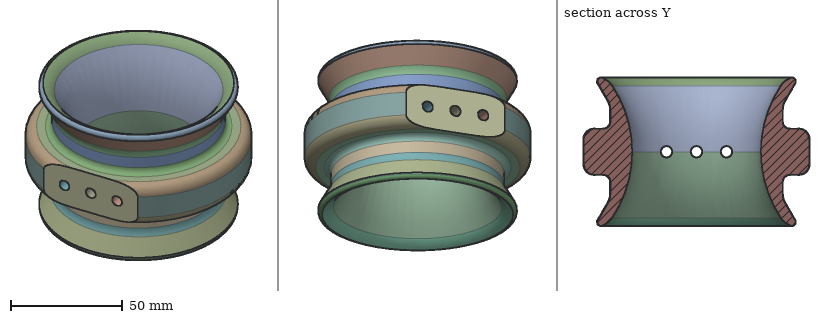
import cadquery as cq
import math

band_radius = 51.0
neck_radius = 39.0
lip_radius = 44.8
throat_radius = 29.0
flare_start_radius = 38.0

half_height = 33.5
band_half_height = 10.5
flare_start_height = 29.75

band_round = 5.0
band_root_fillet = 3.0
neck_blend_radius = 8.0
cone_angle = math.radians(30)
lip_round = 1.8
lip_edge_width = 0.55

flat_distance = 45.0
hole_diameter = 5.0
hole_spacing = 13.5
hole_count = 3


def arc_point(center, radius, angle):
    """Point on a circle in the (radius, height) half plane."""
    return (center[0] + radius * math.cos(angle), center[1] + radius * math.sin(angle))


def ring_half():
    """Revolved ring above the mid plane: band, neck, outer cone, lip and flared bore."""
    lip_center_height = half_height - lip_round
    lip_bottom = lip_center_height - lip_edge_width
    lip_crest_radius = lip_radius - lip_round

    cone_foot = lip_bottom - (lip_radius - neck_radius) / math.tan(cone_angle)
    blend_bottom = cone_foot - neck_blend_radius * math.tan(cone_angle / 2)
    blend_center = (neck_radius + neck_blend_radius, blend_bottom)

    band_round_center = (band_radius - band_round, band_half_height - band_round)
    root_center = (neck_radius + band_root_fillet, band_half_height + band_root_fillet)
    lip_center = (lip_crest_radius, lip_center_height)

    throat_rise = flare_start_radius - throat_radius
    throat_arc_radius = (flare_start_height**2 + throat_rise**2) / (2 * throat_rise)
    throat_center = (throat_radius + throat_arc_radius, 0)
    throat_angle = math.asin(flare_start_height / throat_arc_radius)

    profile = (
        cq.Workplane("XZ")
        .moveTo(throat_radius, 0)
        .threePointArc(
            arc_point(throat_center, throat_arc_radius, math.pi - throat_angle / 2),
            (flare_start_radius, flare_start_height),
        )
        .tangentArcPoint((lip_crest_radius, half_height), relative=False)
        .threePointArc(
            arc_point(lip_center, lip_round, math.pi / 4),
            (lip_radius, lip_center_height),
        )
        .lineTo(lip_radius, lip_bottom)
        .lineTo(*arc_point(blend_center, neck_blend_radius, math.pi - cone_angle))
        .threePointArc(
            arc_point(blend_center, neck_blend_radius, math.pi - cone_angle / 2),
            (neck_radius, blend_bottom),
        )
        .lineTo(neck_radius, root_center[1])
        .threePointArc(
            arc_point(root_center, band_root_fillet, 5 * math.pi / 4),
            (root_center[0], band_half_height),
        )
        .lineTo(band_round_center[0], band_half_height)
        .threePointArc(
            arc_point(band_round_center, band_round, math.pi / 4),
            (band_radius, band_round_center[1]),
        )
        .lineTo(band_radius, 0)
        .close()
    )
    return profile.revolve(360, (0, 0, 0), (0, 1, 0))


def flat_cutter():
    """Block that removes everything beyond the flat on the -Y side."""
    depth = band_radius - flat_distance
    return (
        cq.Workplane("XY")
        .box(2 * band_radius, depth, 2 * band_half_height)
        .translate((0, -flat_distance - depth / 2, 0))
    )


def flat_holes():
    """Row of holes from the flat into the bore, parallel to Y."""
    return (
        cq.Workplane("XZ")
        .rarray(hole_spacing, 1, hole_count, 1)
        .circle(hole_diameter / 2)
        .extrude(2 * band_radius)
    )


def machine_flat(ring):
    """Cut the flat and its holes into one half of the ring."""
    return ring.cut(flat_cutter()).cut(flat_holes())


upper_ring = ring_half()
lower_ring = upper_ring.rotate((0, 0, 0), (1, 0, 0), 180)
result = machine_flat(upper_ring).union(machine_flat(lower_ring))